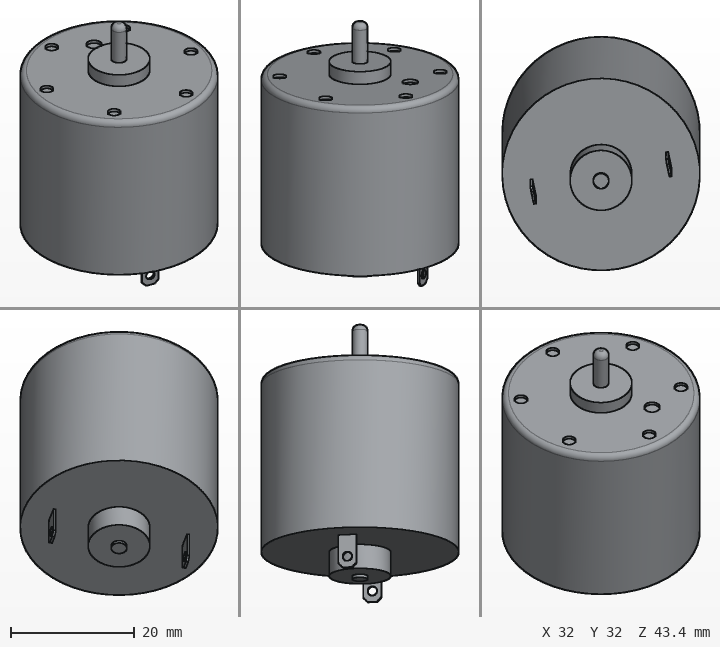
import cadquery as cq

overall_height = 43.4

can_diameter = 32.0
can_height = 29.0
can_edge_radius = 1.0

boss_diameter = 10.0
front_boss_height = 2.15
rear_boss_height = 4.0
shaft_diameter = 2.5
shaft_reach = 9.0
shaft_stub = 0.5
shaft_tip_radius = 1.0

hole_depth = 0.5
mount_hole_count = 6
mount_hole_diameter = 2.13
mount_circle_radius = 13.0
locating_hole_diameter = 2.5
locating_hole_offset = 9.0

terminal_length = overall_height - can_height - shaft_reach
terminal_width = 3.0
terminal_thickness = 0.4
terminal_offset = 11.2
terminal_chamfer = 0.75
terminal_hole_diameter = 1.5
terminal_hole_drop = 3.6


def cylinder(diameter, bottom, top):
    return cq.Workplane("XY").workplane(offset=bottom).circle(diameter / 2).extrude(top - bottom)


def make_can():
    return cylinder(can_diameter, 0, can_height).faces(">Z").edges().fillet(can_edge_radius)


def make_bosses():
    return cylinder(boss_diameter, -rear_boss_height, can_height + front_boss_height)


def make_shaft():
    shaft = cylinder(shaft_diameter, -rear_boss_height - shaft_stub, can_height + shaft_reach)
    return shaft.faces(">Z").edges().fillet(shaft_tip_radius)


def make_top_holes():
    hole_floor = cq.Workplane("XY").workplane(offset=can_height - hole_depth)
    mount_holes = (
        hole_floor.polarArray(mount_circle_radius, 90, 360, mount_hole_count)
        .circle(mount_hole_diameter / 2)
        .extrude(hole_depth)
    )
    locating_hole = (
        hole_floor.center(-locating_hole_offset, 0)
        .circle(locating_hole_diameter / 2)
        .extrude(hole_depth)
    )
    return mount_holes.union(locating_hole)


def make_terminal(x):
    blade = (
        cq.Workplane("XY")
        .box(terminal_thickness, terminal_width, terminal_length)
        .translate((x, 0, -terminal_length / 2))
        .faces("<Z")
        .edges("|X")
        .chamfer(terminal_chamfer)
    )
    eye = (
        cq.Workplane("YZ", origin=(x, 0, -terminal_hole_drop))
        .circle(terminal_hole_diameter / 2)
        .extrude(terminal_thickness, both=True)
    )
    return blade.cut(eye)


result = make_can().union(make_bosses()).union(make_shaft()).cut(make_top_holes())
for side in (-1, 1):
    result = result.union(make_terminal(side * terminal_offset))